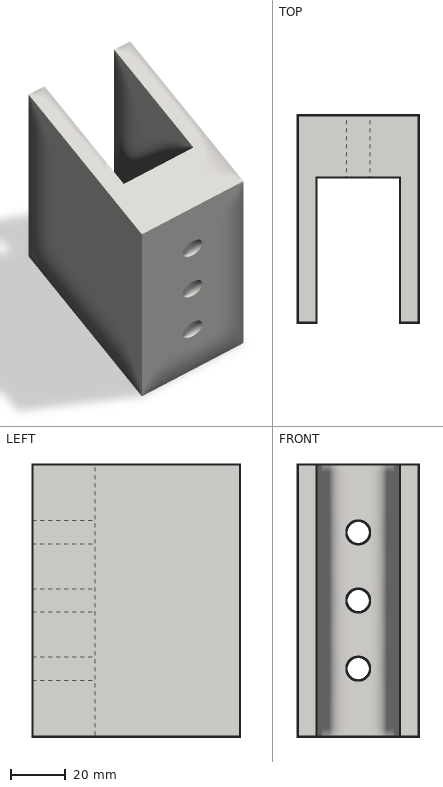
import cadquery as cq

width = 44.5
depth = 76.2
height = 100.0

wall_thickness = 7.0
web_thickness = 22.9
channel_width = width - 2 * wall_thickness
channel_depth = depth - web_thickness

hole_diameter = 8.6
hole_count = 3
hole_pitch = height / (hole_count + 1)

block = cq.Workplane("XY").box(width, depth, height)

channel = (
    cq.Workplane("XY")
    .box(channel_width, channel_depth, height)
    .translate((0, (channel_depth - depth) / 2, 0))
)

holes = (
    cq.Workplane("XZ", origin=(0, depth / 2, 0))
    .rarray(1, hole_pitch, 1, hole_count)
    .circle(hole_diameter / 2)
    .extrude(depth)
)

result = block.cut(channel).cut(holes)